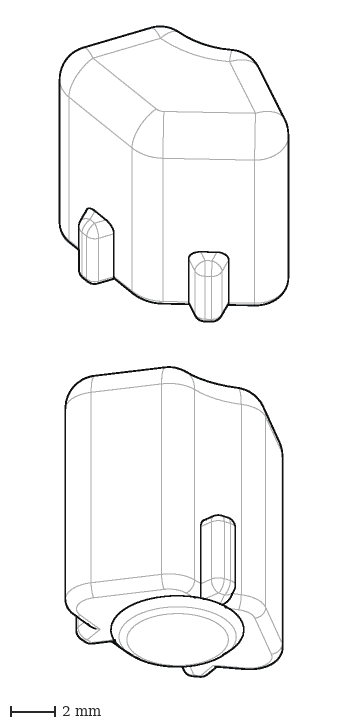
import cadquery as cq
import math

total_height = 12.5
base_height = 0.5
rib_top = 4.5

rounding = 1.5
core_half_width = 4.01
front_slope = math.radians(22.5)
back_slope = math.radians(45)
front_nose_radius = 2.0
back_hollow_radius = 4.0
back_hollow_y = 3.54
small_fillet = 0.5

base_radius = 3.0
base_center_y = 0.29

rib_reach = 1.0
rib_root_depth = 1.25
back_rib_tip_half_width = 0.52
front_rib_tip_half_width = 0.49
back_rib_taper = 18.0
front_rib_taper = 22.5
front_rib_x = 2.68


def wall_crossing(slope):
    """Distance from Y = 0 at which the line of a sloping wall crosses X = 0."""
    return core_half_width * math.tan(slope) + rounding / math.cos(slope)


front_corner_y = -wall_crossing(front_slope)
back_line_y = wall_crossing(back_slope)
side_corner_x = (back_line_y - front_corner_y) / (math.tan(front_slope) + math.tan(back_slope))
side_corner_y = front_corner_y + side_corner_x * math.tan(front_slope)

hollow_gap = back_hollow_y + back_hollow_radius - back_line_y
shoulder_x = (math.sqrt(2 * back_hollow_radius**2 - hollow_gap**2) - hollow_gap) / 2
shoulder_y = back_line_y - shoulder_x


def make_body():
    body = (
        cq.Workplane("XY", origin=(0, 0, base_height))
        .moveTo(0, front_corner_y)
        .lineTo(side_corner_x, side_corner_y)
        .lineTo(shoulder_x, shoulder_y)
        .threePointArc((0, back_hollow_y), (-shoulder_x, shoulder_y))
        .lineTo(-side_corner_x, side_corner_y)
        .close()
        .extrude(total_height - base_height)
    )
    front_edge = cq.selectors.NearestToPointSelector((0, front_corner_y, total_height / 2))
    body = body.edges(front_edge).fillet(front_nose_radius)
    for side in (-1, 1):
        for x, y in ((side_corner_x, side_corner_y), (shoulder_x, shoulder_y)):
            corner = cq.selectors.NearestToPointSelector((side * x, y, total_height / 2))
            body = body.edges(corner).fillet(rounding)
    return body.faces(">Z").edges().fillet(rounding)


def make_base():
    cone = (
        cq.Workplane("XZ")
        .lineTo(base_radius - base_height, 0)
        .lineTo(base_radius, base_height)
        .lineTo(0, base_height)
        .close()
        .revolve(360, (0, 0), (0, 1))
    )
    return cone.faces("<Z").edges().fillet(small_fillet).translate((0, base_center_y, 0))


def make_rib(x, y, direction, taper, tip_half_width):
    """Rib whose axis leaves the wall at (x, y), turned from +Y by the direction angle."""
    length = rib_root_depth + rib_reach
    root_half_width = tip_half_width + length * math.tan(math.radians(taper))
    rib = (
        cq.Workplane("XY")
        .polyline([
            (-root_half_width, -rib_root_depth),
            (root_half_width, -rib_root_depth),
            (tip_half_width, rib_reach),
            (-tip_half_width, rib_reach),
        ])
        .close()
        .extrude(rib_top - base_height)
        .edges("|Z and >Y")
        .fillet(small_fillet)
        .faces(">Z")
        .edges("not <Y")
        .fillet(small_fillet)
    )
    return rib.rotate((0, 0, 0), (0, 0, 1), direction).translate((x, y, base_height))


front_rib_y = front_corner_y + front_rib_x * math.tan(front_slope)
result = make_body()
result = result.union(make_rib(0, back_hollow_y, 0, back_rib_taper, back_rib_tip_half_width))
for side in (-1, 1):
    direction = 180 + side * math.degrees(front_slope)
    rib = make_rib(side * front_rib_x, front_rib_y, direction, front_rib_taper, front_rib_tip_half_width)
    result = result.union(rib)

result = result.faces("<Z").edges().fillet(small_fillet)
result = result.union(make_base())